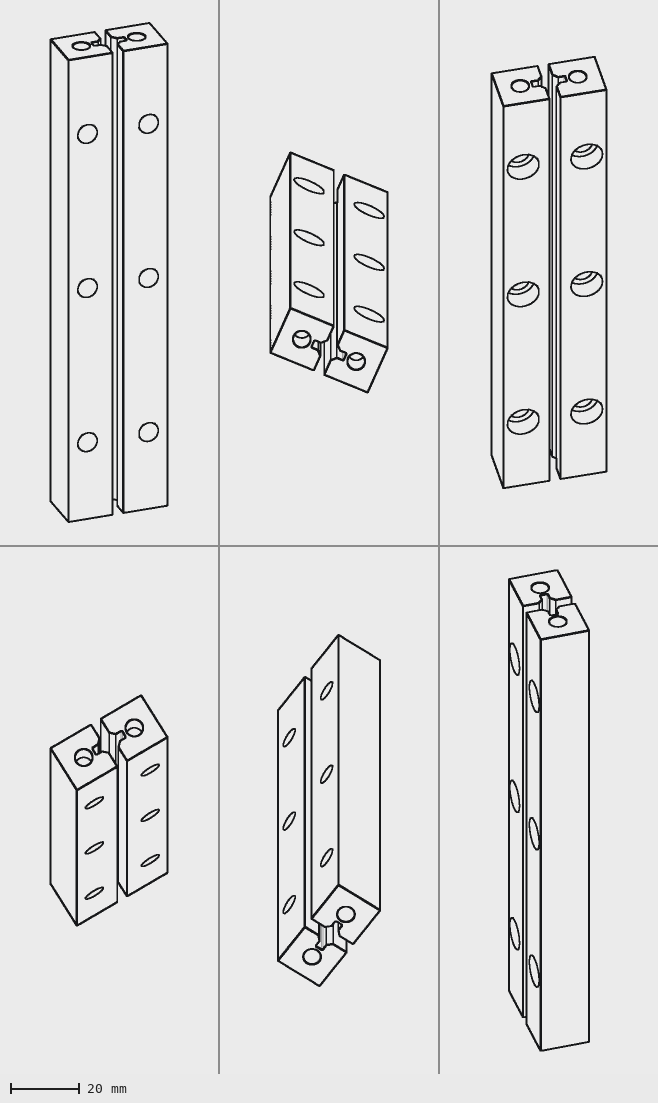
import cadquery as cq

length = 150.0
rail_width = 15.0
total_depth = 31.0
rail_gap = 3.2
edge_chamfer = 0.18
rail_depth = (total_depth - rail_gap) / 2

raceway_width = 5.1
relief_width = 2.2
relief_corner = 0.3
raceway_depth = (raceway_width - relief_width) / 2
groove_depth = 3.5

mount_count = 3
mount_pitch = length / mount_count
mount_diameter = 6.0
counterbore_diameter = 9.5
counterbore_depth = 5.5
mount_from_outside = 6.0

end_hole_diameter = 5.0
end_hole_depth = 9.0
end_hole_from_outside = 6.9
drill_point_depth = end_hole_diameter / 2

outer_face = total_depth / 2
inner_face = rail_gap / 2


def groove():
    """V raceway and relief slot, cut into the inner side over the full length."""
    half_mouth = raceway_width / 2
    slot_start = inner_face + raceway_depth
    slot_bottom = inner_face + groove_depth
    half_slot = relief_width / 2
    return (
        cq.Workplane("XY")
        .moveTo(-half_mouth, inner_face)
        .lineTo(-half_slot, slot_start)
        .lineTo(-half_slot, slot_bottom)
        .lineTo(half_slot, slot_bottom)
        .lineTo(half_slot, slot_start)
        .lineTo(half_mouth, inner_face)
        .close()
        .extrude(length)
        .edges("|Z and >Y")
        .fillet(relief_corner)
    )


def mounting_hole(height):
    """Through hole along X, counterbored from the -X side."""
    start = cq.Workplane("YZ", origin=(-rail_width / 2, outer_face - mount_from_outside, height))
    bore = start.circle(mount_diameter / 2).extrude(rail_width)
    counterbore = start.circle(counterbore_diameter / 2).extrude(counterbore_depth)
    return bore.union(counterbore)


def top_end_hole():
    """Blind hole with a conical drill point, going down from the top end."""
    radius = end_hole_diameter / 2
    hole_y = outer_face - end_hole_from_outside
    return (
        cq.Workplane("XZ", origin=(0, hole_y, 0))
        .moveTo(0, length)
        .lineTo(radius + edge_chamfer, length)
        .lineTo(radius, length - edge_chamfer)
        .lineTo(radius, length - end_hole_depth)
        .lineTo(0, length - end_hole_depth - drill_point_depth)
        .close()
        .revolve(360, (0, 0, 0), (0, 1, 0))
    )


def rail():
    """The rail on the +Y side, with its raceway facing -Y."""
    body = (
        cq.Workplane("XY", origin=(0, inner_face + rail_depth / 2, 0))
        .box(rail_width, rail_depth, length, centered=(True, True, False))
        .edges("|Z")
        .chamfer(edge_chamfer)
        .cut(groove())
        .faces("<Z or >Z")
        .edges()
        .chamfer(edge_chamfer)
    )
    for index in range(mount_count):
        body = body.cut(mounting_hole((index + 0.5) * mount_pitch))
    top_hole = top_end_hole()
    bottom_hole = top_hole.mirror("XY", (0, 0, length / 2))
    return body.cut(top_hole).cut(bottom_hole)


back_rail = rail()
front_rail = back_rail.mirror("XZ")

result = cq.Compound.makeCompound([back_rail.solids().val(), front_rail.solids().val()])